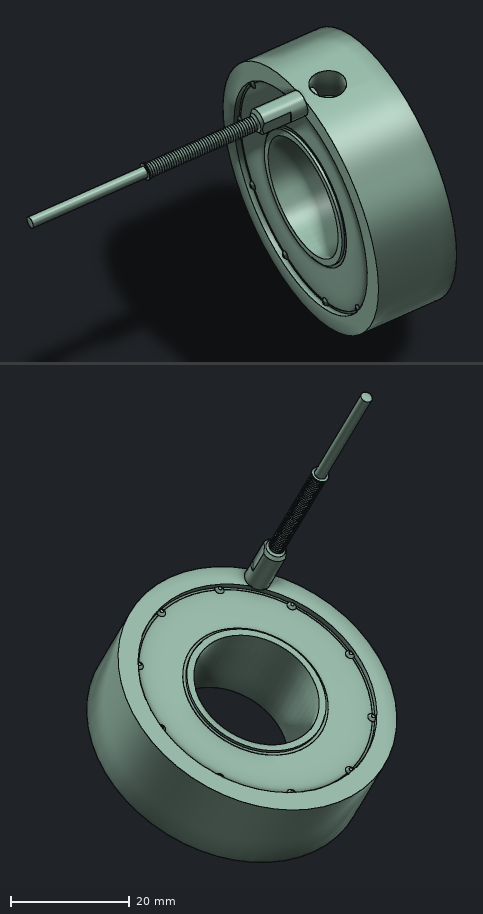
import cadquery as cq

RING_DIAMETER = 50.3
RING_LENGTH = 15.55
BORE_DIAMETER = 22.6
SLEEVE_DIAMETER = 25.1
SLEEVE_DEPTH = 0.5
COLLAR_DIAMETER = 27.15
COLLAR_LENGTH = 0.4

RECESS_DIAMETER = 43.05
COVER_DIAMETER = 42.15
COVER_BORE = 26.25
COVER_DEPTH = 1.0
GAP_DEPTH = 1.05

SCREW_COUNT = 10
SCREW_HEAD_DIAMETER = 1.7
SCREW_TIP_DIAMETER = 0.6
SCREW_HEAD_HEIGHT = 0.4

HOLE_DIAMETER = 6.35
HOLE_CENTRE_Y = 5.4
HOLE_DEPTH = 6.3
HOLE_FLOOR_RADIUS = 22.3

GLAND_DIAMETER = 4.7
GLAND_CENTRE_Z = 23.4
SPIGOT_DIAMETER = 3.35
SPIGOT_END_Y = 2.9
GLAND_LENGTH = 9.0
GLAND_CHAMFER = 0.55
FLATS_START = 3.2
FLATS_WIDTH = 4.0

SLEEVE_END = 31.0
RIB_DIAMETER = 2.8
RIB_ROOT_DIAMETER = 2.4
RIB_COUNT = 46
END_FLANGE_DIAMETER = 3.15
END_FLANGE_LENGTH = 0.3
CABLE_DIAMETER = 2.1
TOTAL_LENGTH = 69.8
CABLE_END = TOTAL_LENGTH - RING_LENGTH - COLLAR_LENGTH


def rod(diameter, y_start, y_end, z=0.0):
    """Solid cylinder along Y, centred on x = 0 at height z."""
    length = y_end - y_start
    return cq.Workplane(
        cq.Solid.makeCylinder(diameter / 2, length, cq.Vector(0, y_start, z), cq.Vector(0, 1, 0))
    )


def tube(outer, inner, y_start, y_end):
    return rod(outer, y_start, y_end).cut(rod(inner, y_start, y_end))


def make_ring():
    back = RING_LENGTH + COLLAR_LENGTH
    ring = rod(RING_DIAMETER, 0, RING_LENGTH).union(rod(COLLAR_DIAMETER, RING_LENGTH, back))
    ring = ring.cut(rod(BORE_DIAMETER, 0, back))
    ring = ring.cut(rod(RECESS_DIAMETER, 0, SLEEVE_DEPTH))
    ring = ring.cut(tube(RECESS_DIAMETER, SLEEVE_DIAMETER, 0, GAP_DEPTH))
    return ring.union(tube(COVER_DIAMETER, COVER_BORE, COVER_DEPTH, GAP_DEPTH))


def make_screw_heads():
    """Tapered heads standing on the cover, trimmed where they meet the recess wall."""
    seat = rod(SCREW_HEAD_DIAMETER, COVER_DEPTH, GAP_DEPTH)
    taper = cq.Workplane(
        cq.Solid.makeCone(
            SCREW_HEAD_DIAMETER / 2,
            SCREW_TIP_DIAMETER / 2,
            SCREW_HEAD_HEIGHT,
            cq.Vector(0, COVER_DEPTH, 0),
            cq.Vector(0, -1, 0),
        )
    )
    head = seat.union(taper)
    heads = cq.Workplane()
    for i in range(SCREW_COUNT):
        angle = 360 * i / SCREW_COUNT
        placed = head.translate((COVER_DIAMETER / 2, 0, 0)).rotate((0, 0, 0), (0, 1, 0), angle)
        heads = heads.add(placed)
    return heads.combine().intersect(rod(RECESS_DIAMETER, 0, GAP_DEPTH))


def make_access_hole():
    """Vertical hole whose floor is slightly hollow along Y."""
    floor_z = RING_DIAMETER / 2 - HOLE_DEPTH
    top_z = RING_DIAMETER / 2 + HOLE_FLOOR_RADIUS
    drill = (
        cq.Workplane("XY", origin=(0, HOLE_CENTRE_Y, 0))
        .circle(HOLE_DIAMETER / 2)
        .extrude(top_z)
    )
    floor = (
        cq.Workplane("YZ")
        .center(HOLE_CENTRE_Y, floor_z + HOLE_FLOOR_RADIUS)
        .circle(HOLE_FLOOR_RADIUS)
        .extrude(HOLE_DIAMETER / 2, both=True)
    )
    return drill.intersect(floor)


def make_gland():
    gland = rod(GLAND_DIAMETER, -GLAND_LENGTH, 0, GLAND_CENTRE_Z)
    gland = gland.faces("<Y").chamfer(GLAND_CHAMFER)
    flats = cq.Workplane("XY").box(FLATS_WIDTH, GLAND_LENGTH - FLATS_START, GLAND_DIAMETER)
    flats = flats.translate((0, -(GLAND_LENGTH + FLATS_START) / 2, GLAND_CENTRE_Z))
    full_round = rod(GLAND_DIAMETER, -FLATS_START, 0, GLAND_CENTRE_Z)
    spigot = rod(SPIGOT_DIAMETER, 0, SPIGOT_END_Y, GLAND_CENTRE_Z)
    return gland.intersect(flats).union(full_round).union(spigot)


def make_cable():
    """Cable with its ribbed sleeve, revolved from one profile with a hollow between each pair of ribs."""
    flange_start = SLEEVE_END - END_FLANGE_LENGTH
    pitch = (flange_start - GLAND_LENGTH) / RIB_COUNT
    root = RIB_ROOT_DIAMETER / 2
    crest = RIB_DIAMETER / 2
    flange = END_FLANGE_DIAMETER / 2
    cable = CABLE_DIAMETER / 2
    profile = cq.Workplane("XY").moveTo(0, -GLAND_LENGTH).lineTo(crest, -GLAND_LENGTH)
    for i in range(RIB_COUNT):
        middle = GLAND_LENGTH + (i + 0.5) * pitch
        end = GLAND_LENGTH + (i + 1) * pitch
        profile = profile.threePointArc((root, -middle), (crest, -end))
    profile = profile.lineTo(flange, -flange_start).lineTo(flange, -SLEEVE_END)
    profile = profile.lineTo(cable, -SLEEVE_END).lineTo(cable, -CABLE_END).lineTo(0, -CABLE_END)
    solid = profile.close().revolve(360, (0, 0, 0), (0, 1, 0))
    return solid.translate((0, 0, GLAND_CENTRE_Z))


ring = make_ring().union(make_screw_heads()).cut(make_access_hole())
result = ring.union(make_gland()).union(make_cable())